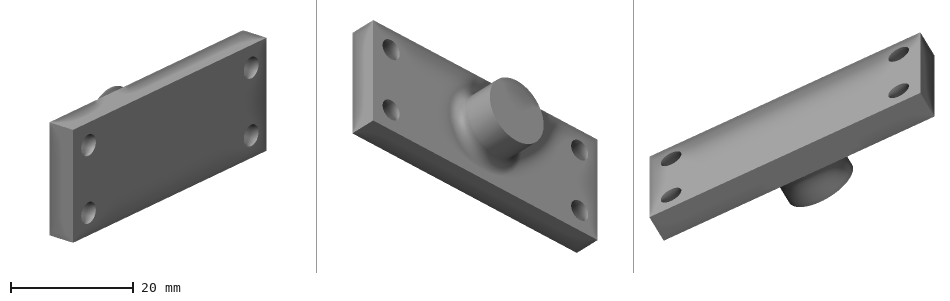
import cadquery as cq

plate_thickness = 5
plate_length = 50
plate_height = 20

boss_diameter = 12
boss_length = 7.5
blend_radius = 2

hole_diameter = 3.8
hole_edge_distance = 4
hole_spacing_y = plate_length - 2 * hole_edge_distance
hole_spacing_z = plate_height - 2 * hole_edge_distance


def make_plate():
    """Plate with its -X face on X = 0 and a through hole near each corner."""
    plate = cq.Workplane("YZ").rect(plate_length, plate_height).extrude(plate_thickness)
    holes = (
        cq.Workplane("YZ")
        .rect(hole_spacing_y, hole_spacing_z, forConstruction=True)
        .vertices()
        .circle(hole_diameter / 2)
        .extrude(plate_thickness)
    )
    return plate.cut(holes)


def make_boss():
    """Boss revolved about X, flaring with a concave arc where it meets the plate."""
    boss_radius = boss_diameter / 2
    flare_radius = boss_radius + blend_radius
    arc_offset = blend_radius * (1 - 0.5 ** 0.5)
    return (
        cq.Workplane("XY")
        .moveTo(-boss_length, 0)
        .lineTo(-boss_length, boss_radius)
        .lineTo(-blend_radius, boss_radius)
        .threePointArc((-arc_offset, boss_radius + arc_offset), (0, flare_radius))
        .lineTo(0, 0)
        .close()
        .revolve(360, (0, 0, 0), (1, 0, 0))
    )


result = make_plate().union(make_boss())